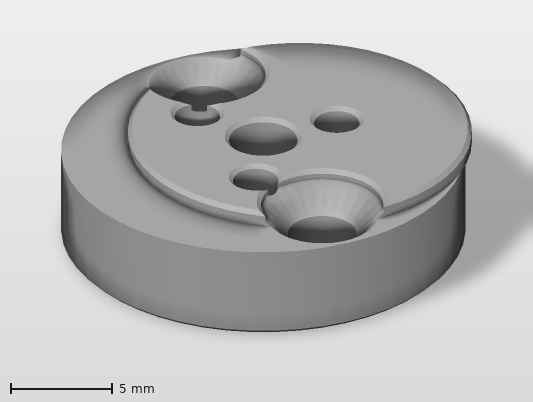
import cadquery as cq
import math

disc_radius = 10.0
disc_height = 4.7
edge_chamfer = 0.2

total_height = 5.5
pad_radius = 8.5
overhang_reach = 10.5
pad_height = total_height - disc_height
pad_offset = overhang_reach - pad_radius

centre_hole_radius = 1.7
small_hole_radius = 1.13
small_hole_circle_radius = 4.0
small_hole_angles = (90, 210, 330)

screw_hole_radius = 1.7
screw_hole_spacing = 14.0
screw_head_radius = 3.03
screw_head_depth = 0.51
screw_cone_depth = screw_head_radius - screw_hole_radius


def cylinder(radius, bottom, height, x=0, y=0):
    """Vertical cylinder standing at the given bottom height."""
    return cq.Workplane("XY", origin=(x, y, bottom)).circle(radius).extrude(height)


def cone(bottom_radius, top_radius, bottom, height, x=0, y=0):
    """Vertical cone widening or narrowing from bottom to top."""
    solid = cq.Solid.makeCone(
        bottom_radius, top_radius, height, cq.Vector(x, y, bottom), cq.Vector(0, 0, 1)
    )
    return cq.Workplane(obj=solid)


def make_disc():
    return cylinder(disc_radius, 0, disc_height).faces("<Z").edges().chamfer(edge_chamfer)


def make_pad():
    pad = cylinder(pad_radius, disc_height, pad_height, y=pad_offset)
    return pad.faces(">Z").edges().chamfer(edge_chamfer)


def make_left_foot():
    """Sloped foot of the pad, on the -X side behind the left screw hole only."""
    foot = cone(pad_radius + edge_chamfer, pad_radius, disc_height, edge_chamfer, y=pad_offset)
    left_rear = cq.Workplane("XY", origin=(0, 0, disc_height)).rect(
        -disc_radius, disc_radius, centered=False
    ).extrude(edge_chamfer)
    within_disc = cylinder(disc_radius, disc_height, edge_chamfer)
    return foot.intersect(left_rear).intersect(within_disc)


def chamfered_hole(radius, x=0, y=0):
    """Cutter for a through hole with a chamfered top rim."""
    hole = cylinder(radius, 0, total_height, x, y)
    rim = cone(radius, radius + edge_chamfer, total_height - edge_chamfer, edge_chamfer, x, y)
    return hole.union(rim)


def screw_hole(x):
    """Cutter for a through hole, countersink, straight head recess and top chamfer."""
    recess_bottom = total_height - screw_head_depth
    cone_bottom = recess_bottom - screw_cone_depth
    rim_bottom = total_height - edge_chamfer
    profile = [
        (0, 0),
        (screw_hole_radius, 0),
        (screw_hole_radius, cone_bottom),
        (screw_head_radius, recess_bottom),
        (screw_head_radius, rim_bottom),
        (screw_head_radius + edge_chamfer, total_height),
        (0, total_height),
    ]
    cutter = cq.Workplane("XZ").polyline(profile).close().revolve(360, (0, 0), (0, 1))
    return cutter.translate((x, 0, 0))


result = make_disc().union(make_pad()).union(make_left_foot())

result = result.cut(chamfered_hole(centre_hole_radius))

for angle in small_hole_angles:
    hole_x = small_hole_circle_radius * math.cos(math.radians(angle))
    hole_y = small_hole_circle_radius * math.sin(math.radians(angle))
    result = result.cut(chamfered_hole(small_hole_radius, hole_x, hole_y))

for side in (-1, 1):
    result = result.cut(screw_hole(side * screw_hole_spacing / 2))